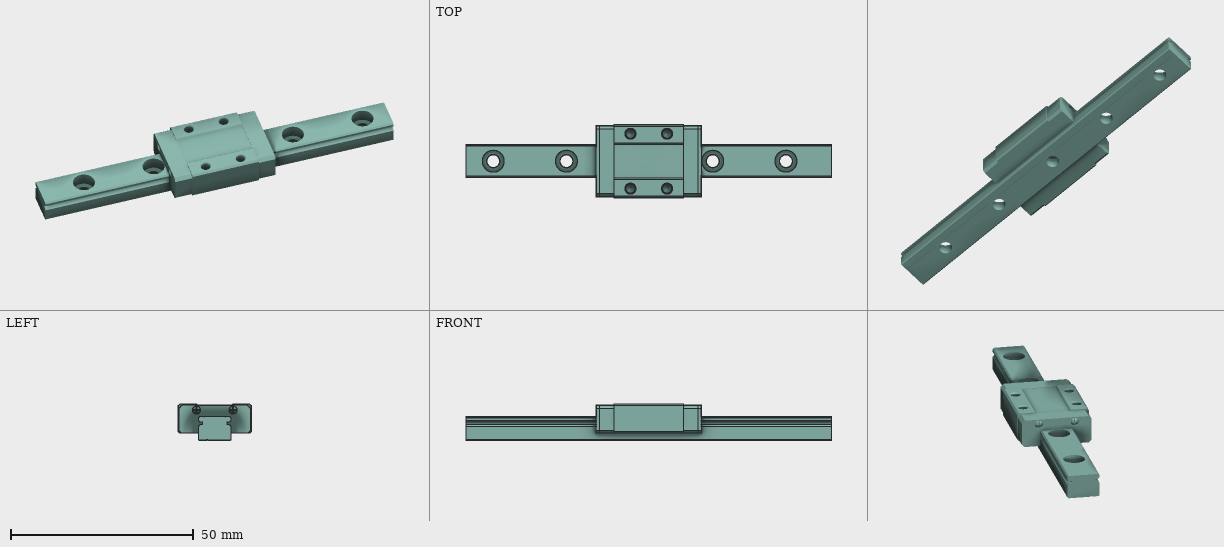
import cadquery as cq
import math

rail_length = 100.0
rail_width = 9.0
rail_height = 6.5
rail_edge_chamfer = 0.4
rail_foot_chamfer = 0.3
groove_half_width = 3.3
groove_top = 5.0
groove_bottom = 4.4
groove_lip_chamfer = 0.5
groove_ledge_chamfer = 0.6
mark_offset = 2.1
mark_width = 0.4
mark_depth = 0.2

rail_hole_pitch = 20.0
rail_hole_count = 5
rail_first_hole = 7.5
rail_hole_diameter = 3.5
counterbore_diameter = 6.0
counterbore_depth = 3.5

total_height = 10.0
carriage_bottom = 2.0
block_length = 19.0
block_width = 20.0
block_top_chamfer = 0.5
block_bottom_chamfer = 0.4
channel_width = 10.0
channel_depth = 0.4

mount_pitch_x = 10.0
mount_pitch_y = 15.0
mount_hole_diameter = 2.5
mount_countersink_diameter = 3.0
mount_hole_depth = 3.0
drill_point_angle = 118.0

cap_length = 4.0
seal_thickness = 0.9
end_width = 19.5
end_top = 9.7
end_top_chamfer = 0.9
end_bottom_chamfer = 0.7

screw_pitch = 10.0
screw_height = 8.3
head_diameter = 2.2
head_rim = 0.3
shank_diameter = 1.4
shank_length = 6.0
cross_slot_width = 0.3
cross_slot_depth = 0.4

cap_start = block_length / 2
seal_start = cap_start + cap_length
carriage_end = seal_start + seal_thickness
head_radius = head_diameter / 2


def rail_profile():
    """Closed outline of the rail without its underside mark, in the YZ plane."""
    half = rail_width / 2
    side = [
        (half - rail_foot_chamfer, 0),
        (half, rail_foot_chamfer),
        (half, groove_bottom - groove_ledge_chamfer),
        (half - groove_ledge_chamfer, groove_bottom),
        (groove_half_width, groove_bottom),
        (groove_half_width, groove_top),
        (half - groove_lip_chamfer, groove_top),
        (half, groove_top + groove_lip_chamfer),
        (half, rail_height - rail_edge_chamfer),
        (half - rail_edge_chamfer, rail_height),
    ]
    mirrored = [(-y, z) for y, z in reversed(side)]
    return cq.Workplane("YZ").polyline(side + mirrored).close()


def rail_blank():
    return rail_profile().extrude(rail_length / 2, both=True)


def make_rail():
    first_x = rail_first_hole - rail_length / 2
    hole_points = [(first_x + i * rail_hole_pitch, 0) for i in range(rail_hole_count)]
    mark = cq.Workplane("XY").box(rail_length, mark_width, 2 * mark_depth).translate((0, mark_offset, 0))
    return (
        rail_blank()
        .cut(mark)
        .faces(">Z")
        .workplane(origin=(0, 0, rail_height))
        .pushPoints(hole_points)
        .cboreHole(rail_hole_diameter, counterbore_diameter, counterbore_depth)
    )


def chamfered_bar(length, width, top, top_chamfer, bottom_chamfer):
    """Bar along X from x = 0, standing on the carriage underside, with its four long edges bevelled."""
    height = top - carriage_bottom
    bar = cq.Workplane("XY").box(length, width, height, centered=(False, True, False))
    bar = bar.edges("|X and >Z").chamfer(top_chamfer)
    bar = bar.edges("|X and <Z").chamfer(bottom_chamfer)
    return bar.translate((0, 0, carriage_bottom))


def mount_hole():
    """Cutter for one blind mounting hole: countersink, bore and drill point, centred on the Z axis."""
    bore = mount_hole_diameter / 2
    mouth = mount_countersink_diameter / 2
    point_length = bore / math.tan(math.radians(drill_point_angle / 2))
    outline = [
        (0, 0),
        (mouth, 0),
        (bore, bore - mouth),
        (bore, -mount_hole_depth),
        (0, -mount_hole_depth - point_length),
    ]
    return cq.Workplane("XZ").polyline(outline).close().revolve(360, (0, 0, 0), (0, 1, 0))


def make_screw():
    """Button-head screw pointing along +X, with the top of its head at x = 0."""
    dome = seal_thickness - head_rim
    dome_radius = (head_radius**2 + dome**2) / (2 * dome)
    half_angle = math.asin(head_radius / dome_radius) / 2
    dome_middle = (dome_radius * (1 - math.cos(half_angle)), dome_radius * math.sin(half_angle))
    tip = seal_thickness + shank_length
    screw = (
        cq.Workplane("XY")
        .moveTo(0, 0)
        .threePointArc(dome_middle, (dome, head_radius))
        .lineTo(seal_thickness, head_radius)
        .lineTo(seal_thickness, shank_diameter / 2)
        .lineTo(tip, shank_diameter / 2)
        .lineTo(tip, 0)
        .close()
        .revolve(360, (0, 0, 0), (1, 0, 0))
    )
    slot = cq.Workplane("XY").box(2 * cross_slot_depth, head_diameter, cross_slot_width)
    return screw.cut(slot).cut(slot.rotate((0, 0, 0), (1, 0, 0), 90))


def screw_hole():
    """Stepped cutter for a screw: a round hole for the head through the seal, then the shank hole."""
    head = cq.Workplane("YZ").circle(head_radius).extrude(seal_thickness)
    return head.union(cq.Workplane("YZ").circle(shank_diameter / 2).extrude(seal_thickness + shank_length))


def at_screw_places(shape):
    """Copies of a shape at the two screw places on the -X end and the two on the +X end."""
    copies = []
    for turn in (0, 180):
        for y in (-screw_pitch / 2, screw_pitch / 2):
            placed = shape.translate((-carriage_end, y, screw_height))
            copies.append(placed.rotate((0, 0, 0), (0, 0, 1), turn))
    return copies


def cut_all(body, cutters):
    for cutter in cutters:
        body = body.cut(cutter)
    return body


def make_block():
    block = chamfered_bar(block_length, block_width, total_height, block_top_chamfer, block_bottom_chamfer)
    block = block.translate((-block_length / 2, 0, 0))
    half_top = channel_width / 2
    half_floor = half_top - channel_depth
    floor_z = total_height - channel_depth
    channel_outline = [
        (-half_top, total_height),
        (-half_floor, floor_z),
        (half_floor, floor_z),
        (half_top, total_height),
    ]
    channel = cq.Workplane("YZ").polyline(channel_outline).close().extrude(block_length / 2, both=True)
    mounts = [
        mount_hole().translate((x, y, total_height))
        for x in (-mount_pitch_x / 2, mount_pitch_x / 2)
        for y in (-mount_pitch_y / 2, mount_pitch_y / 2)
    ]
    return cut_all(block.cut(channel), mounts)


def make_end_bar(start, length):
    bar = chamfered_bar(length, end_width, end_top, end_top_chamfer, end_bottom_chamfer)
    return bar.translate((start, 0, 0))


def both_ends(body):
    """The body at the +X end and its copy turned to the -X end."""
    return [body.rotate((0, 0, 0), (0, 0, 1), turn) for turn in (0, 180)]


rail = make_rail()
screws = at_screw_places(make_screw())

carriage_cutters = [rail_blank(), *at_screw_places(screw_hole())]
block = cut_all(make_block(), carriage_cutters)
end_caps = both_ends(cut_all(make_end_bar(cap_start, cap_length), carriage_cutters))
end_seals = both_ends(cut_all(make_end_bar(seal_start, seal_thickness), carriage_cutters))

bodies = [rail, block, *end_caps, *end_seals, *screws]
result = cq.Compound.makeCompound([body.solids().val() for body in bodies])